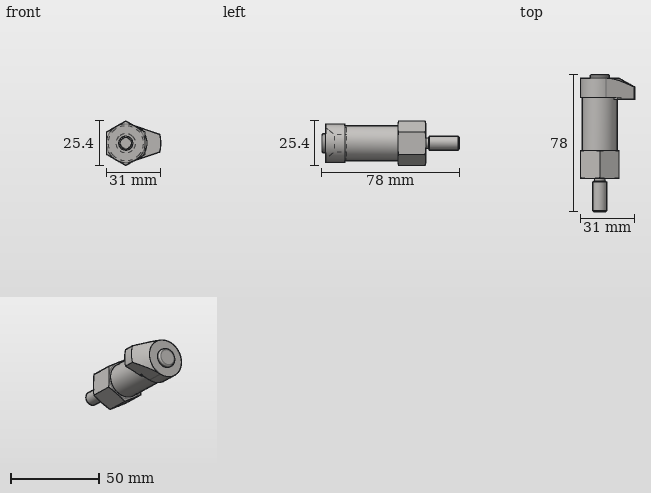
import cadquery as cq
import math

stud_diameter = 8.0
neck_diameter = 6.0
body_diameter = 20.0
head_diameter = 22.0
button_diameter = 11.0
across_flats = head_diameter

stud_end = 17.0
nut_start = 18.95
nut_height = 16.0
nut_end = nut_start + nut_height
button_height = 2.0
overall_length = 78.0
head_top = overall_length - button_height
head_height = 11.0
head_bottom = head_top - head_height

tip_chamfer = 0.8
neck_taper = 0.55
button_fillet = 1.0
nut_chamfer_angle = 15.0

arm_reach = 20.0
arm_tip_half_width = 5.1
arm_slope_drop = 5.0
arm_lip = 1.0
arm_relief_radius = 12.0

head_radius = head_diameter / 2
arm_bottom = head_bottom - arm_lip


def revolved(profile):
    """Revolve (radius, Y) points about the Y axis."""
    return cq.Workplane("XY").polyline(profile).close().revolve(360, (0, 0, 0), (0, 1, 0))


def cylinder(diameter, start, end):
    return cq.Workplane("XZ", origin=(0, end, 0)).circle(diameter / 2).extrude(end - start)


def make_stud():
    stud_radius = stud_diameter / 2
    neck_radius = neck_diameter / 2
    return revolved([
        (0, 0),
        (stud_radius - tip_chamfer, 0),
        (stud_radius, tip_chamfer),
        (stud_radius, stud_end),
        (neck_radius, stud_end + neck_taper),
        (neck_radius, nut_start),
        (0, nut_start),
    ])


def make_nut():
    across_corners = across_flats / math.cos(math.radians(30))
    hexagon = (
        cq.Workplane("XZ", origin=(0, nut_end, 0))
        .transformed(rotate=(0, 0, 30))
        .polygon(6, across_corners)
        .extrude(nut_height)
    )
    flat_radius = across_flats / 2
    corner_radius = across_corners / 2
    corner_drop = (corner_radius - flat_radius) * math.tan(math.radians(nut_chamfer_angle))
    envelope = revolved([
        (0, nut_start),
        (flat_radius, nut_start),
        (corner_radius, nut_start + corner_drop),
        (corner_radius, nut_end - corner_drop),
        (flat_radius, nut_end),
        (0, nut_end),
    ])
    return hexagon.intersect(envelope)


def make_arm():
    corner_x = math.sqrt(arm_reach**2 - arm_tip_half_width**2)
    corner_angle = math.atan2(arm_tip_half_width, corner_x)
    tangent_angle = corner_angle + math.acos(head_radius / arm_reach)
    tangent_x = head_radius * math.cos(tangent_angle)
    tangent_z = head_radius * math.sin(tangent_angle)
    wedge = (
        cq.Workplane("XZ", origin=(0, head_top, 0))
        .moveTo(tangent_x, tangent_z)
        .lineTo(corner_x, arm_tip_half_width)
        .threePointArc((arm_reach, 0), (corner_x, -arm_tip_half_width))
        .lineTo(tangent_x, -tangent_z)
        .close()
        .extrude(head_top - arm_bottom)
    )
    envelope = revolved([
        (0, head_bottom),
        (arm_relief_radius, head_bottom),
        (arm_relief_radius, arm_bottom),
        (arm_reach, arm_bottom),
        (arm_reach, head_top - arm_slope_drop),
        (head_radius, head_top),
        (0, head_top),
    ])
    return wedge.intersect(envelope)


def make_button():
    button = cylinder(button_diameter, head_top, overall_length)
    return button.faces(">Y").edges().fillet(button_fillet)


body = cylinder(body_diameter, nut_end, head_bottom)
head = cylinder(head_diameter, head_bottom, head_top)

result = (
    make_stud()
    .union(make_nut())
    .union(body)
    .union(head)
    .union(make_arm())
    .union(make_button())
)